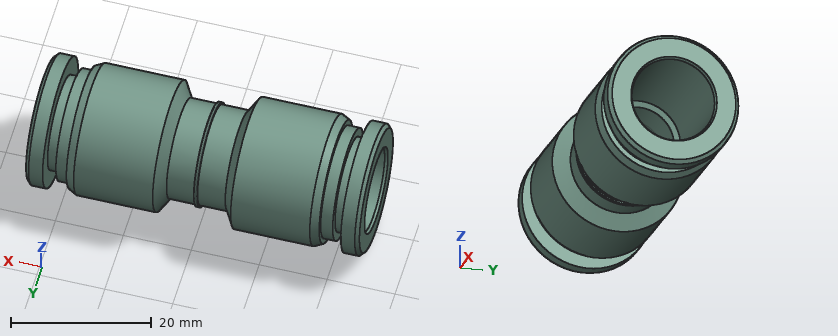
import cadquery as cq
import math

length = 49.1
half_length = length / 2

outer_diameter = 19.3
body_radius = outer_diameter / 2
body_face_radius = 9.05
groove_radius = 6.95
collar_radius = 8.25
neck_radius = 7.35
ring_radius = 7.65

flange_chamfer = 0.55
flange_end = 2.6
groove_end = 4.15
collar_end = 5.95
body_start = 7.15
body_end = 18.8
neck_start = 20.2
ring_width = 0.5
ring_start = half_length - ring_width / 2

entry_radius = 6.35
socket_radius = 6.1
passage_radius = 5.3
entry_angle = 30.0
stop_angle = 60.0
socket_depth = body_end


def cone_depth(large_radius, small_radius, angle):
    """Axial depth of a cone whose wall makes the given angle with the axis."""
    return (large_radius - small_radius) / math.tan(math.radians(angle))


def half_connector():
    """Revolve the half from the -X end face to the mid plane."""
    outside = [
        (0, body_radius - flange_chamfer),
        (flange_chamfer, body_radius),
        (flange_end, body_radius),
        (flange_end, groove_radius),
        (groove_end, groove_radius),
        (groove_end, collar_radius),
        (collar_end, collar_radius),
        (collar_end, body_face_radius),
        (body_start, body_radius),
        (body_end, body_radius),
        (neck_start, neck_radius),
        (ring_start, neck_radius),
        (ring_start, ring_radius),
        (half_length, ring_radius),
    ]
    entry_depth = cone_depth(entry_radius, socket_radius, entry_angle)
    stop_depth = cone_depth(socket_radius, passage_radius, stop_angle)
    bore = [
        (half_length, passage_radius),
        (socket_depth + stop_depth, passage_radius),
        (socket_depth, socket_radius),
        (entry_depth, socket_radius),
        (0, entry_radius),
    ]
    outline = [(depth - half_length, radius) for depth, radius in outside + bore]
    return cq.Workplane("XY").polyline(outline).close().revolve(360, (0, 0, 0), (1, 0, 0))


left_half = half_connector()
right_half = left_half.mirror("YZ")
result = left_half.union(right_half, clean=True)